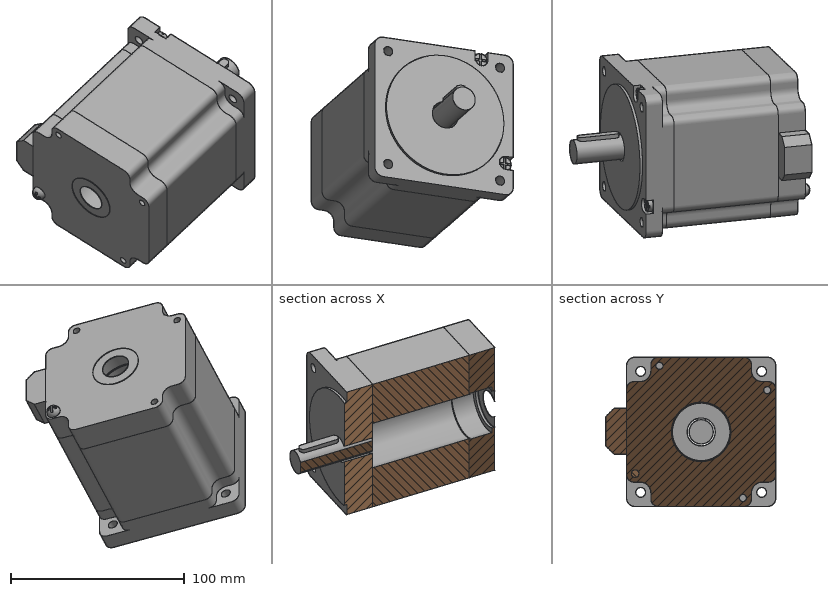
import cadquery as cq
import math


FRAME_SIZE = 86.0
HALF_FRAME = FRAME_SIZE / 2
FLANGE_CORNER_RADIUS = 5.0
NOTCH_DEPTH = 14.0
NOTCH_EDGE = HALF_FRAME - NOTCH_DEPTH
NOTCH_INNER_RADIUS = 6.0
NOTCH_OUTER_RADIUS = 4.5

FLANGE_PLATE_THICKNESS = 10.0
FLANGE_LENGTH = 17.0
STATOR_LENGTH = 63.0
CAP_LENGTH = 16.5
STATOR_FRONT = -FLANGE_LENGTH
CAP_FRONT = STATOR_FRONT - STATOR_LENGTH
CAP_REAR = CAP_FRONT - CAP_LENGTH

PILOT_DIAMETER = 73.0
PILOT_HEIGHT = 1.6
MOUNTING_SPACING = 69.6
MOUNTING_DIAMETER = 5.5

BORE_DIAMETER = 16.0
STATOR_BORE_DIAMETER = 33.0
CAVITY_DIAMETER = 34.0
CAP_WALL = 2.0
CAP_LIP = 0.5

RING_DIAMETER = 28.0
RING_THICKNESS = 0.35

SHAFT_DIAMETER = 14.0
SHAFT_END = 30.0
SHAFT_START = STATOR_FRONT
KEY_WIDTH = 5.0
KEY_HEIGHT = 5.0
KEY_LENGTH = 25.0
KEY_START = 2.5
KEY_TOP = 9.0
KEY_BOTTOM = KEY_TOP - KEY_HEIGHT

REAR_HOLE_LONG = 38.0
REAR_HOLE_SHORT = 24.0
REAR_SCREW_PLACE = (-REAR_HOLE_LONG, -REAR_HOLE_SHORT)
REAR_HOLES = [
    (-REAR_HOLE_SHORT, REAR_HOLE_LONG),
    (REAR_HOLE_LONG, REAR_HOLE_SHORT),
    (REAR_HOLE_SHORT, -REAR_HOLE_LONG),
    REAR_SCREW_PLACE,
]
REAR_HOLE_DIAMETER = 4.0

FLANGE_SCREW_LONG = 38.5
FLANGE_SCREW_SHORT = 23.3
FLANGE_SCREWS = [
    ((-FLANGE_SCREW_SHORT, FLANGE_SCREW_LONG), (0, 1)),
    ((-FLANGE_SCREW_LONG, -FLANGE_SCREW_SHORT), (-1, 0)),
]

HEAD_DIAMETER = 8.0
CROSS_WIDTH = 1.2
REAR_CROSS_DEPTH = 1.2
FLANGE_CROSS_DEPTH = 0.8
FLANGE_POCKET_DEPTH = 4.5
FLANGE_HEAD_HEIGHT = 2.8
REAR_RIM_HEIGHT = 0.6
REAR_HEAD_HEIGHT = 4.1

CONNECTOR_REACH = 12.0
CONNECTOR_TOP = 13.7
CONNECTOR_BOTTOM = -13.0
CONNECTOR_CHAMFER = 5.0


def plane_at(y):
    """Plane facing +Y whose local x is -X and local y is Z."""
    return cq.Workplane(cq.Plane(origin=(0, y, 0), xDir=(-1, 0, 0), normal=(0, 1, 0)))


def local(points):
    """Turn (X, Z) places into the local coordinates of plane_at."""
    return [(-x, z) for x, z in points]


def cylinder(diameter, start, end, place=(0, 0)):
    return plane_at(start).pushPoints(local([place])).circle(diameter / 2).extrude(end - start)


def square_prism(start, end):
    return plane_at(start).rect(FRAME_SIZE, FRAME_SIZE).extrude(end - start)


def notched_prism(start, end):
    """Square prism with a rounded notch in each corner."""
    length = end - start
    prism = square_prism(start, end)
    mouth = 2 * NOTCH_DEPTH
    corners = plane_at(start).rect(FRAME_SIZE, FRAME_SIZE, forConstruction=True).vertices()
    notches = corners.rect(mouth, mouth).extrude(length).edges("|Y").fillet(NOTCH_INNER_RADIUS)
    prism = prism.cut(notches)
    for x_side in (-1, 1):
        for z_side in (-1, 1):
            for x, z in ((HALF_FRAME, NOTCH_EDGE), (NOTCH_EDGE, HALF_FRAME)):
                lip = cq.selectors.NearestToPointSelector((x_side * x, (start + end) / 2, z_side * z))
                prism = prism.edges(lip).fillet(NOTCH_OUTER_RADIUS)
    return prism


def cut_cross(screw, tip, depth, place):
    """Cut a cross recess of the given depth into the head whose tip is at Y = tip."""
    for width, height in ((HEAD_DIAMETER, CROSS_WIDTH), (CROSS_WIDTH, HEAD_DIAMETER)):
        slot = cq.Workplane("XY").box(width, 2 * depth, height).translate((place[0], tip, place[1]))
        screw = screw.cut(slot)
    return screw


def make_screw_pocket(place, outward):
    """Round-ended pocket that runs from a flange screw out through the nearest side of the frame."""
    floor = -FLANGE_POCKET_DEPTH
    reach = HEAD_DIAMETER
    channel_centre = (place[0] + outward[0] * reach / 2, place[1] + outward[1] * reach / 2)
    channel = plane_at(floor).pushPoints(local([channel_centre])).rect(reach, HEAD_DIAMETER).extrude(-floor)
    return cylinder(HEAD_DIAMETER, floor, 0, place).union(channel)


def make_flange():
    plate = square_prism(-FLANGE_PLATE_THICKNESS, 0).edges("|Y").fillet(FLANGE_CORNER_RADIUS)
    flange = plate.union(notched_prism(STATOR_FRONT, -FLANGE_PLATE_THICKNESS))
    flange = flange.union(cylinder(PILOT_DIAMETER, 0, PILOT_HEIGHT))
    flange = flange.cut(cylinder(BORE_DIAMETER, STATOR_FRONT, PILOT_HEIGHT))
    mounting_holes = (
        plane_at(-FLANGE_PLATE_THICKNESS)
        .rect(MOUNTING_SPACING, MOUNTING_SPACING, forConstruction=True)
        .vertices()
        .circle(MOUNTING_DIAMETER / 2)
        .extrude(FLANGE_PLATE_THICKNESS)
    )
    flange = flange.cut(mounting_holes)
    for place, outward in FLANGE_SCREWS:
        flange = flange.cut(make_screw_pocket(place, outward))
    return flange


def make_stator():
    stator = notched_prism(CAP_FRONT, STATOR_FRONT)
    return stator.cut(cylinder(STATOR_BORE_DIAMETER, CAP_FRONT, STATOR_FRONT))


def make_rear_cap():
    cap = notched_prism(CAP_REAR, CAP_FRONT)
    cap = cap.cut(cylinder(RING_DIAMETER, CAP_REAR, CAP_REAR + CAP_WALL))
    cap = cap.cut(cylinder(CAVITY_DIAMETER, CAP_REAR + CAP_WALL, CAP_FRONT - CAP_LIP))
    cap = cap.cut(cylinder(STATOR_BORE_DIAMETER, CAP_FRONT - CAP_LIP, CAP_FRONT))
    for place in REAR_HOLES:
        cap = cap.cut(cylinder(REAR_HOLE_DIAMETER, CAP_REAR, CAP_FRONT, place))
    return cap


def make_rear_ring():
    ring = cylinder(RING_DIAMETER, CAP_REAR, CAP_REAR + RING_THICKNESS)
    return ring.cut(cylinder(BORE_DIAMETER, CAP_REAR, CAP_REAR + RING_THICKNESS))


def make_connector():
    height = CONNECTOR_TOP - CONNECTOR_BOTTOM
    centre = (-HALF_FRAME - CONNECTOR_REACH / 2, (CONNECTOR_TOP + CONNECTOR_BOTTOM) / 2)
    block = plane_at(CAP_REAR).pushPoints(local([centre])).rect(CONNECTOR_REACH, height).extrude(CAP_LENGTH)
    return block.faces("<X").edges("|Y").chamfer(CONNECTOR_CHAMFER)


def make_key():
    middle = KEY_START + KEY_LENGTH / 2
    return (
        cq.Workplane("XY", origin=(0, middle, KEY_BOTTOM))
        .slot2D(KEY_LENGTH, KEY_WIDTH, 90)
        .extrude(KEY_HEIGHT)
    )


def make_shaft(key):
    return cylinder(SHAFT_DIAMETER, SHAFT_START, SHAFT_END).cut(key)


def make_flange_screw(place):
    """Flat cross-recessed head resting on the floor of its pocket."""
    tip = -FLANGE_POCKET_DEPTH + FLANGE_HEAD_HEIGHT
    head = cylinder(HEAD_DIAMETER, -FLANGE_POCKET_DEPTH, tip, place)
    return cut_cross(head, tip, FLANGE_CROSS_DEPTH, place)


def make_rear_screw(place):
    """Domed cross-recessed head on the rear face, with a shank filling its hole in the cap."""
    head_radius = HEAD_DIAMETER / 2
    tip = CAP_REAR - REAR_HEAD_HEIGHT
    rim = CAP_REAR - REAR_RIM_HEIGHT
    dome_height = REAR_HEAD_HEIGHT - REAR_RIM_HEIGHT
    dome_radius = (head_radius**2 + dome_height**2) / (2 * dome_height)
    dome_centre = tip + dome_radius
    half_angle = math.asin(head_radius / dome_radius) / 2
    dome_middle = (dome_radius * math.sin(half_angle), dome_centre - dome_radius * math.cos(half_angle))
    head = (
        cq.Workplane("XY")
        .moveTo(0, CAP_REAR)
        .lineTo(head_radius, CAP_REAR)
        .lineTo(head_radius, rim)
        .threePointArc(dome_middle, (0, tip))
        .close()
        .revolve(360, (0, 0, 0), (0, 1, 0))
        .translate((place[0], 0, place[1]))
    )
    screw = head.union(cylinder(REAR_HOLE_DIAMETER, CAP_REAR, CAP_FRONT, place))
    return cut_cross(screw, tip, REAR_CROSS_DEPTH, place)


flange = make_flange()
stator = make_stator()
rear_cap = make_rear_cap()
rear_ring = make_rear_ring()
connector = make_connector()
key = make_key()
shaft = make_shaft(key)
flange_screws = [make_flange_screw(place) for place, outward in FLANGE_SCREWS]
rear_screw = make_rear_screw(REAR_SCREW_PLACE)

result = cq.Compound.makeCompound([
    flange.val(),
    stator.val(),
    rear_cap.val(),
    rear_ring.val(),
    connector.val(),
    shaft.val(),
    key.val(),
    *[screw.val() for screw in flange_screws],
    rear_screw.val(),
])